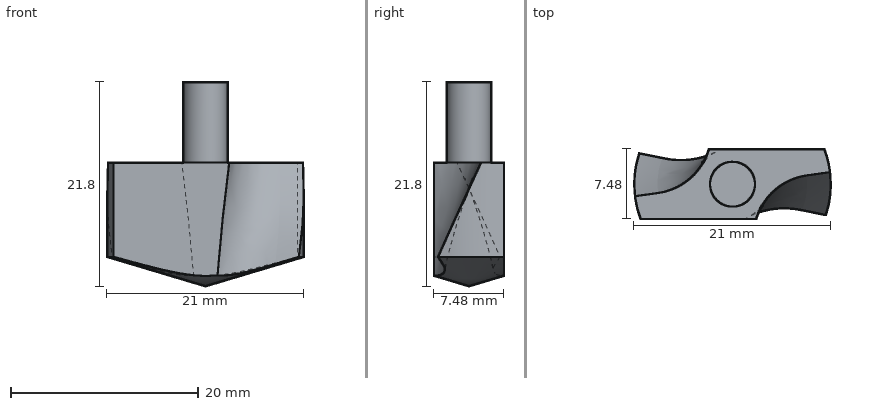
import cadquery as cq
import math

overall_height = 21.8
cut_diameter = 21.0
blade_thickness = 7.48
blade_top = 13.2
tip_height = 3.15
shank_diameter = 4.8

land_start_x = 7.94
land_start_y = 0.94
land_slope = 8.0
flute_radius = 6.58
twist_rate = 2.523
flute_overrun = 2.62
arc_overrun = 0.41


def blade_blank():
    """Conical-tipped round body trimmed to a flat blade."""
    radius = cut_diameter / 2
    body = (
        cq.Workplane("XZ")
        .polyline([(0, 0), (radius, tip_height), (radius, blade_top), (0, blade_top)])
        .close()
        .revolve(360, (0, 0), (0, 1))
    )
    slab = cq.Workplane("XY").box(
        cut_diameter, blade_thickness, blade_top, centered=(True, True, False)
    )
    return body.intersect(slab)


def flute_cutter():
    """Helical tool that removes the flute on the +X, -Y side."""
    slope = math.radians(land_slope)
    center_x = land_start_x + flute_radius * math.sin(slope)
    center_y = land_start_y - flute_radius * math.cos(slope)

    def arc_point(angle):
        return (
            center_x + flute_radius * math.cos(angle),
            center_y + flute_radius * math.sin(angle),
        )

    start_angle = math.pi / 2 + slope
    arc_end_y = -blade_thickness / 2 - arc_overrun
    end_angle = math.pi - math.asin((arc_end_y - center_y) / flute_radius)
    arc_end = arc_point(end_angle)

    outer = cut_diameter / 2 + flute_overrun
    land_end_y = land_start_y + (outer - land_start_x) * math.tan(slope)
    total_twist = twist_rate * blade_top
    return (
        cq.Workplane("XY")
        .transformed(rotate=(0, 0, -total_twist))
        .moveTo(outer, land_end_y)
        .lineTo(land_start_x, land_start_y)
        .threePointArc(arc_point((start_angle + end_angle) / 2), arc_end)
        .lineTo(arc_end[0], -outer)
        .lineTo(outer, -outer)
        .close()
        .twistExtrude(blade_top, total_twist)
    )


blade = blade_blank()
cutter = flute_cutter()
for flute_angle in (0, 180):
    blade = blade.cut(cutter.rotate((0, 0, 0), (0, 0, 1), flute_angle))

shank = (
    cq.Workplane("XY", origin=(0, 0, blade_top))
    .circle(shank_diameter / 2)
    .extrude(overall_height - blade_top)
)

result = blade.union(shank)